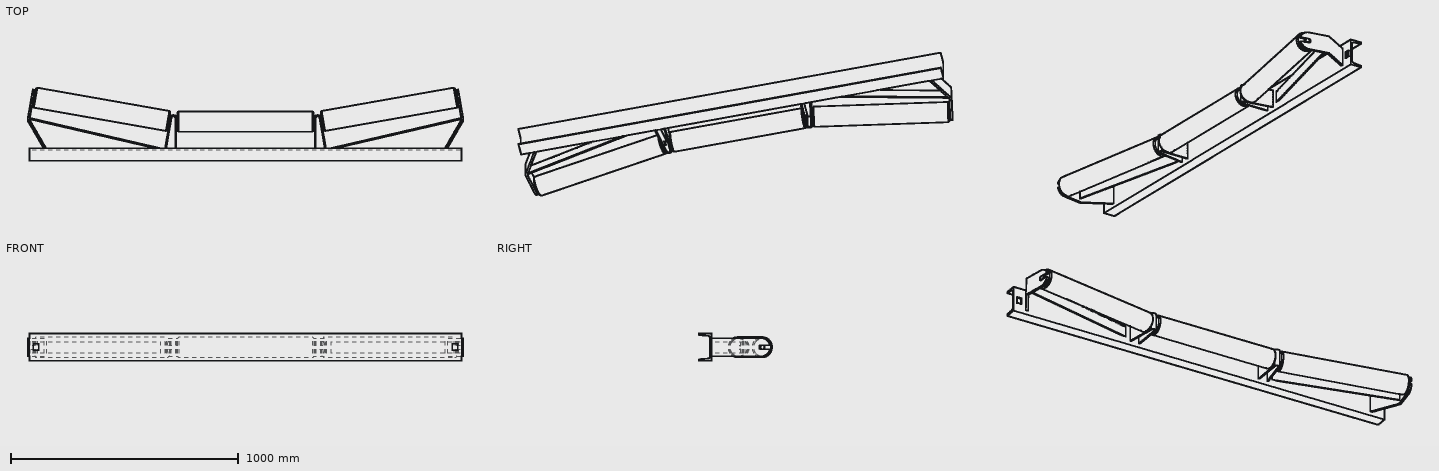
import cadquery as cq
import math


beam_length = 1900.0
beam_depth = 55.0
beam_height = 120.0
web_thickness = 8.0
flange_root = 11.0
flange_tip = 8.0
root_radius = 8.0
toe_radius = 4.0
slot_width = 23.0
slot_height = 29.0
slot_spacing = 1840.0

roller_diameter = 90.0
roller_length = 600.0
end_chamfer = 5.0
shaft_radius = 10.0
tilt = 10.0
centre_axis_y = 172.0
side_roller_x = 632.0
side_roller_y = 225.0

strip_width = 80.0
end_clearance = 4.0
inner_strip = 5.0
bridge_y = 195.0
bridge_rise = 5.0
outer_strip = 10.0
leg_lean = 30.0
seat_drop = 5.0
overall_length = 1915.0
bend_radius = 15.0
brace_thickness = 5.0
brace_width = 50.0
brace_foot_x = 400.0

tilt_sin = math.sin(math.radians(tilt))
tilt_cos = math.cos(math.radians(tilt))
lean_sin = math.sin(math.radians(leg_lean))
lean_cos = math.cos(math.radians(leg_lean))
tilt_tan = math.tan(math.radians(tilt))


def flat_strip(profile, width):
    """Extrude a closed XY profile to a width centred on Z = 0."""
    return profile.extrude(width).translate((0, 0, -width / 2))


def x_rod(sketch, length):
    """Extrude a closed YZ profile to a length centred on X = 0."""
    return sketch.extrude(length).translate((-length / 2, 0, 0))


def mirrored(body):
    """The same body on the +X side."""
    return body.mirror("YZ")


def place_on_side_axis(body):
    """Tilt a body built along X and move it onto the -X side roller's axis."""
    return body.rotate((0, 0, 0), (0, 0, 1), -tilt).translate((-side_roller_x, side_roller_y, 0))


def make_beam():
    half = beam_height / 2
    web_front = beam_depth - web_thickness
    profile = (
        cq.Workplane("YZ")
        .moveTo(0, half)
        .lineTo(beam_depth, half)
        .lineTo(beam_depth, -half)
        .lineTo(0, -half)
        .lineTo(0, flange_tip - half)
        .lineTo(web_front, flange_root - half)
        .lineTo(web_front, half - flange_root)
        .lineTo(0, half - flange_tip)
        .close()
    )
    beam = x_rod(profile, beam_length)
    for side in (-1, 1):
        root = cq.selectors.NearestToPointSelector((0, web_front, side * (half - flange_root)))
        beam = beam.edges(root).fillet(root_radius)
        toe = cq.selectors.NearestToPointSelector((0, 0, side * (half - flange_tip)))
        beam = beam.edges(toe).fillet(toe_radius)
    slots = (
        cq.Workplane("XZ")
        .pushPoints([(-slot_spacing / 2, 0), (slot_spacing / 2, 0)])
        .rect(slot_width, slot_height)
        .extrude(-beam_depth)
    )
    return beam.cut(slots)


def make_roller(reach_left, reach_right):
    half = roller_length / 2
    shell = x_rod(cq.Workplane("YZ").circle(roller_diameter / 2), roller_length)
    shell = shell.faces("<X or >X").chamfer(end_chamfer)
    shaft = (
        cq.Workplane("YZ", origin=(-half - reach_left, 0, 0))
        .circle(shaft_radius)
        .extrude(roller_length + reach_left + reach_right)
    )
    return shell.union(shaft)


inner_reach = end_clearance + inner_strip
outer_reach = end_clearance + outer_strip
centre_roller = make_roller(inner_reach, inner_reach).translate((0, centre_axis_y, 0))
side_roller = place_on_side_axis(make_roller(outer_reach, inner_reach))


def make_inner_bracket():
    upright_in = -roller_length / 2 - end_clearance
    upright_out = upright_in - inner_strip

    def tilted_x(offset, y):
        """X at height y on the plane square to the side axis, offset beyond the roller end."""
        along = roller_length / 2 + end_clearance + offset
        face_x = -side_roller_x + along * tilt_cos
        face_y = side_roller_y - along * tilt_sin
        return face_x + (y - face_y) * tilt_tan

    under = bridge_y - inner_strip
    middle = (upright_out + tilted_x(inner_strip, bridge_y)) / 2
    profile = (
        cq.Workplane("XY")
        .moveTo(upright_in, beam_depth)
        .lineTo(upright_in, bridge_y)
        .threePointArc((middle, bridge_y + bridge_rise), (tilted_x(0, bridge_y), bridge_y))
        .lineTo(tilted_x(0, beam_depth), beam_depth)
        .lineTo(tilted_x(inner_strip, beam_depth), beam_depth)
        .lineTo(tilted_x(inner_strip, under), under)
        .threePointArc((middle, under + bridge_rise), (upright_out, under))
        .lineTo(upright_out, beam_depth)
        .close()
    )
    return flat_strip(profile, strip_width).cut(centre_roller).cut(side_roller)


head_along = roller_length / 2 + end_clearance
head_x = -side_roller_x - head_along * tilt_cos
head_y = side_roller_y + head_along * tilt_sin
bend_x = bend_radius - overall_length / 2
inside_radius = bend_radius - outer_strip
bend_y = head_y + ((bend_x - head_x) * tilt_cos - inside_radius) / tilt_sin


def on_bend(radius, normal_cos, normal_sin):
    """Point on a concentric bend arc, in the given outward direction."""
    return (bend_x - radius * normal_cos, bend_y + radius * normal_sin)


def leg_foot(radius):
    """Foot on the crossbeam of the leg face that runs off the bend arc."""
    start_x, start_y = on_bend(radius, lean_cos, -lean_sin)
    return (start_x + (start_y - beam_depth) * lean_sin / lean_cos, beam_depth)


def make_outer_bracket():
    end_radius = strip_width / 2
    tip_x = head_x + (end_radius - seat_drop) * tilt_sin
    tip_y = head_y + (end_radius - seat_drop) * tilt_cos
    profile = (
        cq.Workplane("XY")
        .moveTo(tip_x, tip_y)
        .lineTo(tip_x - outer_strip * tilt_cos, tip_y + outer_strip * tilt_sin)
        .lineTo(*on_bend(bend_radius, tilt_cos, tilt_sin))
        .threePointArc(on_bend(bend_radius, 1, 0), on_bend(bend_radius, lean_cos, -lean_sin))
        .lineTo(*leg_foot(bend_radius))
        .lineTo(*leg_foot(inside_radius))
        .lineTo(*on_bend(inside_radius, lean_cos, -lean_sin))
        .threePointArc(on_bend(inside_radius, 1, 0), on_bend(inside_radius, tilt_cos, tilt_sin))
        .close()
    )
    depth = 4 * outer_strip
    end_block = x_rod(cq.Workplane("YZ").center(end_radius, 0).rect(strip_width, strip_width), depth)
    corners = end_block.cut(x_rod(cq.Workplane("YZ").circle(end_radius), depth))
    slot_floor = x_rod(cq.Workplane("YZ").circle(shaft_radius), depth)
    slot_mouth = x_rod(
        cq.Workplane("YZ").center(end_radius, 0).rect(strip_width, 2 * shaft_radius), depth
    )
    cutter = corners.union(slot_floor).union(slot_mouth).translate((-head_along, -seat_drop, 0))
    return flat_strip(profile, strip_width).cut(place_on_side_axis(cutter))


def make_brace():
    start_x, start_y = on_bend(inside_radius, tilt_cos, tilt_sin)
    run = -brace_foot_x - start_x
    drop = start_y - beam_depth
    slope = drop / run
    rise = brace_thickness * math.hypot(run, drop) / run
    climb = rise / (1 + slope * tilt_tan)
    profile = (
        cq.Workplane("XY")
        .moveTo(start_x, start_y)
        .lineTo(start_x + climb * tilt_tan, start_y + climb)
        .lineTo(-brace_foot_x + rise / slope, beam_depth)
        .lineTo(-brace_foot_x, beam_depth)
        .close()
    )
    return flat_strip(profile, brace_width)


beam = make_beam()
inner_bracket = make_inner_bracket()
outer_bracket = make_outer_bracket()
brace = make_brace()

side_bodies = [side_roller, inner_bracket, outer_bracket, brace]
bodies = [beam, centre_roller]
for body in side_bodies:
    bodies += [body, mirrored(body)]
result = cq.Compound.makeCompound([body.val() for body in bodies])